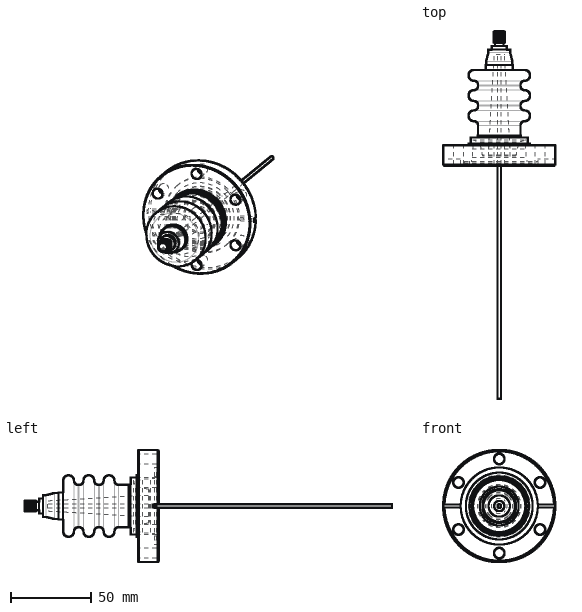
import cadquery as cq
import math

TOTAL_LENGTH = 228.5

FLANGE_RADIUS = 35.0
FLANGE_THICKNESS = 13.0
FRONT_CHAMFER = 1.0
BACK_CHAMFER = 0.5
BOLT_COUNT = 6
BOLT_CIRCLE_RADIUS = 29.3
BOLT_HOLE_RADIUS = 3.2
LEAK_GROOVE_WIDTH = 2.0
LEAK_GROOVE_DEPTH = 4.1

RECESS_RADIUS = 24.0
RECESS_DEPTH = 2.7
KNIFE_RADIUS = 20.8
KNIFE_DEPTH = 1.5
BORE_RADIUS = 18.5
BORE_STEP_DEPTH = 2.7

GAP_RADII = (17.1, 16.7, 16.2)
GAP_STEP_DEPTHS = (5.3, 10.3, 16.0)
GAP_FLOOR_INNER_DEPTH = 14.6

LOWER_RING_RADIUS = 19.2
LOWER_RING_TOP = 14.0
UPPER_RING_RADIUS = 17.8
UPPER_RING_TOP = 17.5

NECK_RADIUS = 13.3
NECK_BAND_RADIUS = 13.5
NECK_BAND_TOP = 19.0
RIB_RADIUS = 19.2
RIB_HALF_THICKNESS = 3.5
RIB_COUNT = 3
RIB_PITCH = 12.5
FIRST_RIB_Y = 31.0
RIM_CENTER_RADIUS = RIB_RADIUS - RIB_HALF_THICKNESS
ROOT_FILLET = RIM_CENTER_RADIUS - NECK_RADIUS
ROOT_SAG = ROOT_FILLET * (1 - math.sqrt(0.5))
INSULATOR_TOP = FIRST_RIB_Y + (RIB_COUNT - 1) * RIB_PITCH + RIB_HALF_THICKNESS
INSULATOR_FACE_DEPTH = 6.0
INSULATOR_END_RADIUS = 10.5
INSULATOR_END_CHAMFER = 0.7
INSULATOR_FOOT_RADIUS = 12.1

SLEEVE_BAND_RADIUS = 8.5
SLEEVE_BAND_TOP = 62.6
SLEEVE_RADIUS = 8.2
SLEEVE_TOP = 65.0
CAP_TOP_RADIUS = 6.9
CAP_CONE_TOP = 70.5
CAP_TOP = 72.2
COLLAR_RADIUS = 4.8
COLLAR_TOP = 74.5
THREAD_ROOT_RADIUS = 2.7
THREAD_CREST_RADIUS = 3.5
THREAD_COUNT = 8
THREAD_PITCH = 1.0
TERMINAL_TOP = 83.7

INSULATOR_BORE_RADIUS = 6.6
CAVITY_CONE_START = 10.0
CAVITY_TOP = 69.3
CAVITY_TOP_RADIUS = 3.2

ROD_RADIUS = 1.1
ROD_TIP = TERMINAL_TOP - TOTAL_LENGTH


def revolve(outline):
    """Close a radius/Y outline and turn it full circle about the Y axis."""
    return outline.close().revolve(360, (0, 0, 0), (0, 1, 0))


def add_rib(outline, center_y):
    """Append the root fillet below a rib and its full-round rim."""
    low = center_y - RIB_HALF_THICKNESS
    high = center_y + RIB_HALF_THICKNESS
    return (
        outline.lineTo(NECK_RADIUS, low - ROOT_FILLET)
        .threePointArc((NECK_RADIUS + ROOT_SAG, low - ROOT_SAG), (RIM_CENTER_RADIUS, low))
        .threePointArc((RIB_RADIUS, center_y), (RIM_CENTER_RADIUS, high))
    )


def add_upper_root(outline, center_y):
    """Append the root fillet above a rib."""
    high = center_y + RIB_HALF_THICKNESS
    middle = (NECK_RADIUS + ROOT_SAG, high + ROOT_SAG)
    return outline.threePointArc(middle, (NECK_RADIUS, high + ROOT_FILLET))


def add_thread(outline):
    """Append V-shaped thread rings that end at the terminal tip."""
    start = TERMINAL_TOP - THREAD_COUNT * THREAD_PITCH
    outline = outline.lineTo(THREAD_ROOT_RADIUS, start)
    for turn in range(THREAD_COUNT):
        root_y = start + turn * THREAD_PITCH
        outline = outline.lineTo(THREAD_CREST_RADIUS, root_y + THREAD_PITCH / 2)
        outline = outline.lineTo(THREAD_ROOT_RADIUS, root_y + THREAD_PITCH)
    return outline


def make_outer_body():
    """Flange, weld rings, ribbed insulator, cap and terminal as one solid of revolution."""
    outline = (
        cq.Workplane("XY")
        .moveTo(0, 0)
        .lineTo(FLANGE_RADIUS - FRONT_CHAMFER, 0)
        .lineTo(FLANGE_RADIUS, FRONT_CHAMFER)
        .lineTo(FLANGE_RADIUS, FLANGE_THICKNESS - BACK_CHAMFER)
        .lineTo(FLANGE_RADIUS - BACK_CHAMFER, FLANGE_THICKNESS)
        .lineTo(LOWER_RING_RADIUS, FLANGE_THICKNESS)
        .lineTo(LOWER_RING_RADIUS, LOWER_RING_TOP)
        .lineTo(UPPER_RING_RADIUS, LOWER_RING_TOP)
        .lineTo(UPPER_RING_RADIUS, UPPER_RING_TOP)
        .lineTo(NECK_BAND_RADIUS, UPPER_RING_TOP)
        .lineTo(NECK_BAND_RADIUS, NECK_BAND_TOP)
        .lineTo(NECK_RADIUS, NECK_BAND_TOP)
    )
    for rib in range(RIB_COUNT):
        center_y = FIRST_RIB_Y + rib * RIB_PITCH
        outline = add_rib(outline, center_y)
        if rib < RIB_COUNT - 1:
            outline = add_upper_root(outline, center_y)
    outline = (
        outline.lineTo(SLEEVE_BAND_RADIUS, INSULATOR_TOP)
        .lineTo(SLEEVE_BAND_RADIUS, SLEEVE_BAND_TOP)
        .lineTo(SLEEVE_RADIUS, SLEEVE_BAND_TOP)
        .lineTo(SLEEVE_RADIUS, SLEEVE_TOP)
        .lineTo(CAP_TOP_RADIUS, CAP_CONE_TOP)
        .lineTo(CAP_TOP_RADIUS, CAP_TOP)
        .lineTo(COLLAR_RADIUS, CAP_TOP)
        .lineTo(COLLAR_RADIUS, COLLAR_TOP)
        .lineTo(THREAD_ROOT_RADIUS, COLLAR_TOP)
    )
    return revolve(add_thread(outline).lineTo(0, TERMINAL_TOP))


def make_face_recess():
    """Seal recess with knife edge, the bore behind it and the gap around the insulator end."""
    outline = (
        cq.Workplane("XY")
        .lineTo(RECESS_RADIUS, 0)
        .lineTo(RECESS_RADIUS, RECESS_DEPTH)
        .lineTo(KNIFE_RADIUS, KNIFE_DEPTH)
        .lineTo(BORE_RADIUS, KNIFE_DEPTH)
        .lineTo(BORE_RADIUS, BORE_STEP_DEPTH)
    )
    step_start = BORE_STEP_DEPTH
    for radius, step_end in zip(GAP_RADII, GAP_STEP_DEPTHS):
        outline = outline.lineTo(radius, step_start).lineTo(radius, step_end)
        step_start = step_end
    outline = (
        outline.lineTo(INSULATOR_FOOT_RADIUS, GAP_FLOOR_INNER_DEPTH)
        .lineTo(INSULATOR_END_RADIUS, INSULATOR_FACE_DEPTH + INSULATOR_END_CHAMFER)
        .lineTo(INSULATOR_END_RADIUS - INSULATOR_END_CHAMFER, INSULATOR_FACE_DEPTH)
        .lineTo(0, INSULATOR_FACE_DEPTH)
    )
    return revolve(outline)


def make_cavity():
    """Bore in the insulator end that tapers all the way up into the cap."""
    outline = (
        cq.Workplane("XY")
        .lineTo(INSULATOR_BORE_RADIUS, 0)
        .lineTo(INSULATOR_BORE_RADIUS, CAVITY_CONE_START)
        .lineTo(CAVITY_TOP_RADIUS, CAVITY_TOP)
        .lineTo(0, CAVITY_TOP)
    )
    return revolve(outline)


def along_y(radius, start_y, end_y):
    """Cylinder on the Y axis from start_y to end_y."""
    return cq.Workplane("XZ", origin=(0, start_y, 0)).circle(radius).extrude(start_y - end_y)


def make_bolt_holes():
    """Through holes on the bolt circle, one of them straight up."""
    holes = cq.Workplane("XZ").polarArray(BOLT_CIRCLE_RADIUS, 90, 360, BOLT_COUNT)
    return holes.circle(BOLT_HOLE_RADIUS).extrude(-FLANGE_THICKNESS)


def make_leak_grooves():
    """Two radial grooves in the flange face, from the seal recess out to the rim."""
    bar = cq.Workplane("XZ").rect(2 * FLANGE_RADIUS, LEAK_GROOVE_WIDTH).extrude(-LEAK_GROOVE_DEPTH)
    return bar.cut(along_y(RECESS_RADIUS, 0, LEAK_GROOVE_DEPTH))


body = make_outer_body().cut(make_face_recess()).cut(make_cavity())
body = body.cut(make_bolt_holes()).cut(make_leak_grooves())
rod = along_y(ROD_RADIUS, ROD_TIP, COLLAR_TOP)
result = body.union(rod)